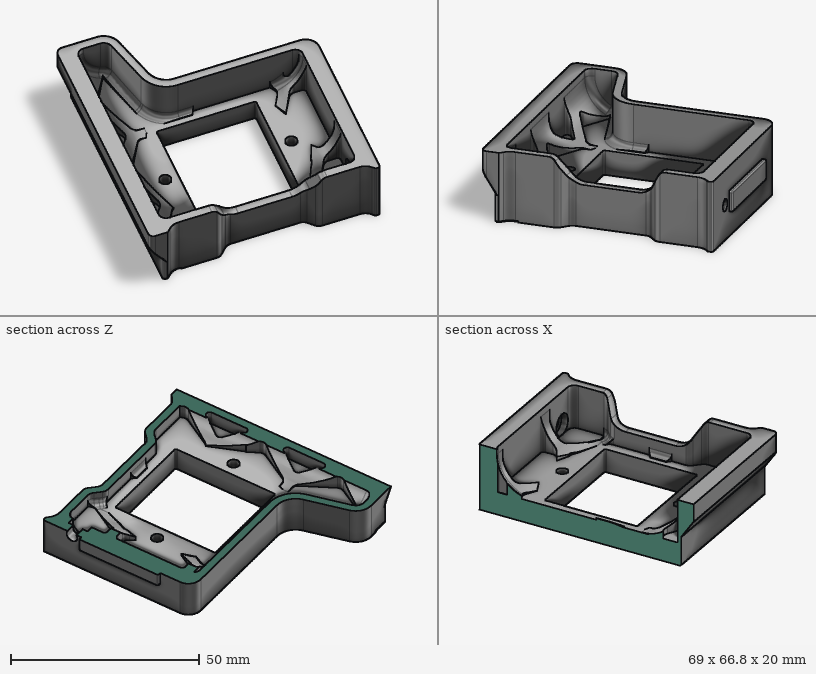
import cadquery as cq
import math

LENGTH = 69.0
DEPTH = 65.75
HEIGHT = 20.0
FLOOR = 7.0
WALL = 2.4
END_WALL = 5.0
BOTTOM_CHAMFER = 0.45
MARGIN = 0.1

NECK_X = 20.75
SHOULDER_Y = 15.7
SHOULDER_ANGLE = math.radians(15)
SHOULDER_RADIUS = 5.0
NECK_RADIUS = 6.0
BACK_RADIUS = 4.0
FRONT_RADIUS = 2.0

RIGHT_X = 66.9
DISH_X = 63.8
DISH_Y = 34.9
DISH_HALF = 10.95
DISH_RADIUS = 2.4
EAR_FRONT_Y = 5.1
EAR_BACK_Y = 64.4
EAR_BACK_X = 68.9
EAR_FRONT_RADIUS = 1.5
EAR_BACK_RADIUS = 0.6
EAR_SWEEP = 4.2

SADDLE_Z = 12.0
SADDLE_ANGLE = math.radians(60)
SADDLE_HALF_TOP = 15.3
SADDLE_TOP_RADIUS = 2.0
SADDLE_BOTTOM_RADIUS = 5.2

STEP_Y = 3.75
STEP_TOP_Z = 14.6
STEP_BOTTOM_Z = 9.0
STEP_RIGHT_RADIUS = 0.8

WINDOW_X = 42.25
WINDOW_Y = 32.83
WINDOW_WIDTH = 32.2
WINDOW_DEPTH = 28.4
WINDOW_RADIUS = 0.5
SCREW_SPACING = 36.0
SCREW_DIAMETER = 3.3

RIB_RADIUS = 11.0
HEX_PITCH = 25.0
HEX_WIDTH = 21.8
HEX_RADIUS = 2.0
HEX_WALL_RADIUS = 1.0
HEX_WALL_BITE = 0.03
HEX_X = 38.0
HEX_Y = 19.35
CLEARANCE_REACH = 23.8
CLEARANCE_SLOPE = 0.42

SIDE_FILLET = 2.1
SIDE_FILLET_TRIM = 1.2
SHOULDER_FILLET_BACK = 30.3
DISH_FILLET_FRONT = 45.5
DISH_FILLET_BACK = 51.5
LIP_Y = 31.7
LIP_LENGTH = 7.0
LIP_TAPER = 1.1

PAD_X = (NECK_X + RIGHT_X) / 2
PAD_Z = 10.0
PAD_WIDTH = 25.5
PAD_HEIGHT = 6.0
PAD_THICKNESS = 1.0
PAD_RADIUS = 0.5
PAD_EDGE_RADIUS = 0.4
BACK_HOLE_X = 59.5
BACK_HOLE_DIAMETER = 3.4
COUNTERBORE_DIAMETER = 6.3
COUNTERBORE_DEPTH = 2.0


def rounded_outline(plane, corners):
    """Closed outline through (x, y, radius) corners, each rounded by a tangent arc."""
    stretches = []
    count = len(corners)
    for i in range(count):
        x, y, radius = corners[i]
        before = corners[i - 1]
        after = corners[(i + 1) % count]
        corner = cq.Vector(x, y)
        back = (cq.Vector(before[0], before[1]) - corner).normalized()
        ahead = (cq.Vector(after[0], after[1]) - corner).normalized()
        if radius == 0:
            stretches.append([corner])
            continue
        half_angle = back.getAngle(ahead) / 2
        reach = radius / math.tan(half_angle)
        to_center = (back + ahead).normalized()
        middle = corner + to_center * (radius / math.sin(half_angle) - radius)
        stretches.append([corner + back * reach, middle, corner + ahead * reach])

    sketch = cq.Workplane(plane).moveTo(*stretches[0][-1].toTuple()[:2])
    for stretch in stretches[1:] + stretches[:1]:
        sketch = sketch.lineTo(*stretch[0].toTuple()[:2])
        if len(stretch) > 1:
            sketch = sketch.threePointArc(stretch[1].toTuple()[:2], stretch[2].toTuple()[:2])
    return sketch.close()


def shoulder_y(x, inset=0.0):
    """Y of the sloped shoulder at x, moved inwards by inset."""
    return SHOULDER_Y + x * math.tan(SHOULDER_ANGLE) - inset / math.cos(SHOULDER_ANGLE)


def dish_corners(inset=0.0):
    """Corners of the dished stretch, front to back, moved inwards by inset."""
    half_inner = DISH_HALF + inset * math.tan(math.pi / 8)
    half_outer = half_inner + RIGHT_X - DISH_X
    return [
        (RIGHT_X - inset, DISH_Y - half_outer, DISH_RADIUS),
        (DISH_X - inset, DISH_Y - half_inner, DISH_RADIUS),
        (DISH_X - inset, DISH_Y + half_inner, DISH_RADIUS),
        (RIGHT_X - inset, DISH_Y + half_outer, DISH_RADIUS),
    ]


def outer_corners(front_y, right_radius):
    """Corners of the outside, with its front face at front_y."""
    front_run = LENGTH - RIGHT_X
    back_run = EAR_BACK_X - RIGHT_X
    return [
        (0, front_y, FRONT_RADIUS),
        (LENGTH, front_y, right_radius),
        (LENGTH, EAR_FRONT_Y, 0),
        (RIGHT_X, EAR_FRONT_Y + front_run, EAR_SWEEP),
        *dish_corners(),
        (RIGHT_X, EAR_BACK_Y - back_run, EAR_SWEEP),
        (EAR_BACK_X, EAR_BACK_Y, EAR_BACK_RADIUS),
        (EAR_BACK_X, DEPTH, EAR_BACK_RADIUS),
        (NECK_X, DEPTH, BACK_RADIUS),
        (NECK_X, shoulder_y(NECK_X), NECK_RADIUS),
        (0, shoulder_y(0), SHOULDER_RADIUS),
    ]


def body():
    full = rounded_outline("XY", outer_corners(0, EAR_FRONT_RADIUS)).extrude(HEIGHT)
    stepped = rounded_outline("XY", outer_corners(STEP_Y, STEP_RIGHT_RADIUS)).extrude(HEIGHT)
    stepped = stepped.faces("<Z").chamfer(BOTTOM_CHAMFER)
    overhang_slope = (STEP_TOP_Z - STEP_BOTTOM_Z) / STEP_Y
    overhang = (
        cq.Workplane("YZ")
        .polyline([
            (0, HEIGHT),
            (0, STEP_TOP_Z),
            (DEPTH, STEP_TOP_Z - DEPTH * overhang_slope),
            (DEPTH, HEIGHT),
        ])
        .close()
        .extrude(LENGTH)
    )
    return stepped.union(full.intersect(overhang))


def cavity(corner_radius):
    """Open space above a flat floor, its four end corners rounded by corner_radius."""
    inner_left = NECK_X + WALL
    corners = [
        (WALL, END_WALL, corner_radius),
        (RIGHT_X - WALL, END_WALL, corner_radius),
        *dish_corners(WALL),
        (RIGHT_X - WALL, DEPTH - END_WALL, corner_radius),
        (inner_left, DEPTH - END_WALL, corner_radius),
        (inner_left, shoulder_y(inner_left, WALL), NECK_RADIUS + WALL),
        (WALL, shoulder_y(WALL, WALL), SHOULDER_RADIUS - WALL),
    ]
    return rounded_outline("XY", corners).extrude(HEIGHT - FLOOR).translate((0, 0, FLOOR))


def block(x_min, x_max, y_min, y_max, height=HEIGHT - FLOOR):
    """Box over a plan rectangle, standing on the floor."""
    return cq.Workplane("XY").box(
        x_max - x_min, y_max - y_min, height, centered=False
    ).translate((x_min, y_min, FLOOR))


def end_fillets():
    """Large concave fillets from the floor up the front and back walls."""
    reach = RIB_RADIUS
    front = block(0, LENGTH, END_WALL, END_WALL + reach, reach)
    back = block(0, LENGTH, DEPTH - END_WALL - reach, DEPTH - END_WALL, reach)
    hollows = (
        cq.Workplane("YZ")
        .pushPoints([
            (END_WALL + reach, FLOOR + reach),
            (DEPTH - END_WALL - reach, FLOOR + reach),
        ])
        .circle(reach)
        .extrude(LENGTH)
    )
    return front.union(back).cut(hollows)


def honeycomb():
    """Hexagonal pockets in staggered rows, clipped at the end walls."""
    circumradius = HEX_WIDTH / math.sqrt(3)
    between_walls = block(
        -LENGTH, 2 * LENGTH, END_WALL - HEX_WALL_BITE, DEPTH - END_WALL + HEX_WALL_BITE
    )
    pockets = None
    for row in (-1, 0, 1, 2):
        center_y = HEX_Y + row * HEX_PITCH * math.sqrt(3) / 2
        stagger = (row % 2) * HEX_PITCH / 2
        for column in (-1, 0, 1):
            center_x = HEX_X + stagger + column * HEX_PITCH
            corners = []
            for i in range(6):
                angle = math.radians(60 * i + 30)
                corners.append((
                    center_x + circumradius * math.cos(angle),
                    center_y + circumradius * math.sin(angle),
                    HEX_RADIUS,
                ))
            pocket = rounded_outline("XY", corners).extrude(HEIGHT - FLOOR).translate((0, 0, FLOOR))
            pocket = pocket.intersect(between_walls)
            if center_y - circumradius < END_WALL:
                pocket = pocket.edges("|Z").edges("<Y").fillet(HEX_WALL_RADIUS)
            if center_y + circumradius > DEPTH - END_WALL:
                pocket = pocket.edges("|Z").edges(">Y").fillet(HEX_WALL_RADIUS)
            pockets = pocket if pockets is None else pockets.union(pocket)
    return pockets


def rhombus_clearance():
    """Flat-floored rhombus around the window that clears the rib tips."""
    half_width = CLEARANCE_REACH / CLEARANCE_SLOPE
    return (
        cq.Workplane("XY", origin=(WINDOW_X, WINDOW_Y, FLOOR))
        .polyline([
            (half_width, 0),
            (0, CLEARANCE_REACH),
            (-half_width, 0),
            (0, -CLEARANCE_REACH),
        ])
        .close()
        .extrude(HEIGHT - FLOOR)
    )


def is_side_edge(edge):
    """True for edges where a side wall meets the floor, an end fillet or an end wall."""
    box = edge.BoundingBox()
    at_top = box.zmin > HEIGHT - MARGIN
    along_end_wall = box.xlen > LENGTH / 4 and box.ylen < MARGIN
    at_end_wall = box.ymin < END_WALL + MARGIN or box.ymax > DEPTH - END_WALL - MARGIN
    wall_seam = box.zmax > HEIGHT - MARGIN and not at_end_wall
    return not (at_top or along_end_wall or wall_seam)


def smooth_cavity():
    """Cavity with the large end fillets and the small side fillets all standing."""
    space = cavity(0).cut(end_fillets())
    side_edges = [edge for edge in space.edges().vals() if is_side_edge(edge)]
    return space.newObject(side_edges).fillet(SIDE_FILLET)


def plan_prism(points):
    """Prism over plan points, from the floor to the top."""
    return cq.Workplane("XY", origin=(0, 0, FLOOR)).polyline(points).close().extrude(HEIGHT - FLOOR)


def shoulder_zone():
    """Strip along the shoulder and neck where the side fillet stays."""
    inner_left = NECK_X + WALL
    trim_x = inner_left + SIDE_FILLET_TRIM
    inset = WALL + SIDE_FILLET
    end_drop = SIDE_FILLET_TRIM * math.tan(math.radians(30))
    return plan_prism([
        (WALL, shoulder_y(WALL, inset)),
        (trim_x, shoulder_y(trim_x, inset)),
        (trim_x, SHOULDER_FILLET_BACK - end_drop),
        (inner_left, SHOULDER_FILLET_BACK),
        (WALL, SHOULDER_FILLET_BACK),
    ])


def lip_zone():
    """Tapered patch on the dished wall where the side fillet stays as a lip."""
    wall_x = DISH_X - WALL
    tip_x = wall_x - SIDE_FILLET_TRIM
    half_tip = LIP_LENGTH / 2 - LIP_TAPER
    return plan_prism([
        (tip_x, LIP_Y + half_tip),
        (wall_x, LIP_Y + LIP_LENGTH / 2),
        (wall_x, LIP_Y - LIP_LENGTH / 2),
        (tip_x, LIP_Y - half_tip),
    ])


def carved_cavity():
    """Cavity less the ribs and fillets that stay standing in it."""
    dish_zone = block(
        DISH_X - WALL - SIDE_FILLET_TRIM, RIGHT_X, DISH_FILLET_FRONT, DISH_FILLET_BACK
    )
    opened = rhombus_clearance().cut(dish_zone).union(honeycomb())
    opened = opened.cut(shoulder_zone()).cut(lip_zone())
    return smooth_cavity().union(opened.intersect(cavity(SIDE_FILLET)))


def saddle():
    """Cutter that lowers the top edge of the dished wall."""
    slope_run = (HEIGHT - SADDLE_Z) / math.tan(SADDLE_ANGLE)
    half_top = SADDLE_HALF_TOP
    half_bottom = half_top - slope_run
    half_mouth = half_top + SADDLE_TOP_RADIUS
    above = HEIGHT + MARGIN
    corners = [
        (DISH_Y - half_mouth, HEIGHT, 0),
        (DISH_Y - half_top, HEIGHT, SADDLE_TOP_RADIUS),
        (DISH_Y - half_bottom, SADDLE_Z, SADDLE_BOTTOM_RADIUS),
        (DISH_Y + half_bottom, SADDLE_Z, SADDLE_BOTTOM_RADIUS),
        (DISH_Y + half_top, HEIGHT, SADDLE_TOP_RADIUS),
        (DISH_Y + half_mouth, HEIGHT, 0),
        (DISH_Y + half_mouth, above, 0),
        (DISH_Y - half_mouth, above, 0),
    ]
    start_x = DISH_X - WALL - SIDE_FILLET
    return rounded_outline("YZ", corners).extrude(LENGTH - start_x).translate((start_x, 0, 0))


def floor_openings():
    window = (
        cq.Workplane("XY", origin=(WINDOW_X, WINDOW_Y, 0))
        .rect(WINDOW_WIDTH, WINDOW_DEPTH)
        .extrude(HEIGHT)
        .edges("|Z")
        .fillet(WINDOW_RADIUS)
    )
    screws = (
        cq.Workplane("XY", origin=(WINDOW_X, WINDOW_Y, 0))
        .rarray(1, SCREW_SPACING, 1, 2)
        .circle(SCREW_DIAMETER / 2)
        .extrude(HEIGHT)
    )
    return window.union(screws)


def back_pad():
    """Rounded locating pad on the outside of the back wall."""
    pad = cq.Workplane("XY").box(PAD_WIDTH, 2 * PAD_THICKNESS, PAD_HEIGHT)
    pad = pad.edges("|Y").fillet(PAD_RADIUS).faces(">Y").edges().fillet(PAD_EDGE_RADIUS)
    return pad.translate((PAD_X, DEPTH, PAD_Z))


def back_hole():
    """Counterbored hole through the back wall."""
    inside = cq.Workplane("XZ", origin=(BACK_HOLE_X, DEPTH - END_WALL, PAD_Z))
    hole = inside.circle(BACK_HOLE_DIAMETER / 2).extrude(-END_WALL)
    return hole.union(inside.circle(COUNTERBORE_DIAMETER / 2).extrude(-COUNTERBORE_DEPTH))


result = (
    body()
    .cut(carved_cavity())
    .cut(saddle())
    .cut(floor_openings())
    .cut(back_hole())
    .union(back_pad())
)